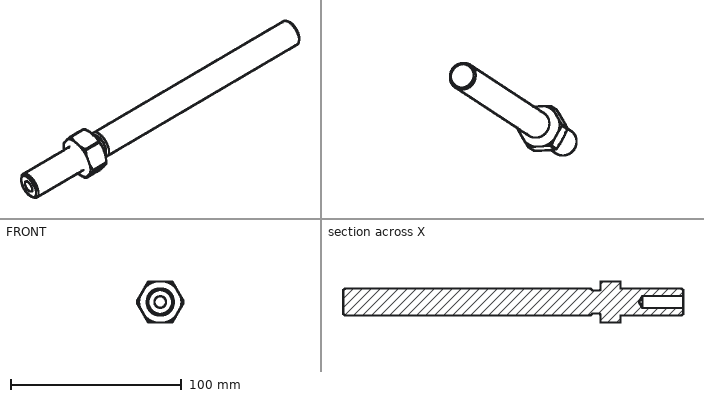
import cadquery as cq
import math

length = 199.0
rod_radius = 8.0
end_chamfer = 1.0

hex_start = 36.6
hex_width = 12.0
hex_end = hex_start + hex_width
across_flats = 24.0
across_corners = 27.5
hex_chamfer_radius = 12.3
hex_chamfer_angle = 35.0

shank_fillet = 0.5

groove_radius = 6.8
groove_width = 5.8
groove_end = hex_end + groove_width
groove_fillet = 1.2
groove_chamfer = rod_radius - groove_radius

hole_radius = 3.4
hole_depth = 23.9
drill_point_angle = 118.0


def revolve_about_y(profile):
    """Turn a closed half-profile, given as (radius, y), about the Y axis."""
    return profile.close().revolve(360, (0, 0, 0), (0, 1, 0))


def make_rod():
    end_radius = rod_radius - end_chamfer
    diagonal = groove_fillet * math.sqrt(0.5)
    fillet_radius = groove_radius + groove_fillet
    fillet_y = hex_end + groove_fillet
    shank_fillet_radius = rod_radius + shank_fillet
    shank_fillet_y = hex_start - shank_fillet
    shank_diagonal = shank_fillet * math.sqrt(0.5)
    profile = (
        cq.Workplane("XY")
        .lineTo(end_radius, 0)
        .lineTo(rod_radius, end_chamfer)
        .lineTo(rod_radius, shank_fillet_y)
        .threePointArc(
            (shank_fillet_radius - shank_diagonal, shank_fillet_y + shank_diagonal),
            (shank_fillet_radius, hex_start),
        )
        .lineTo(fillet_radius, hex_end)
        .threePointArc(
            (fillet_radius - diagonal, fillet_y - diagonal),
            (groove_radius, fillet_y),
        )
        .lineTo(groove_radius, groove_end - groove_chamfer)
        .lineTo(rod_radius, groove_end)
        .lineTo(rod_radius, length - end_chamfer)
        .lineTo(end_radius, length)
        .lineTo(0, length)
    )
    return revolve_about_y(profile)


def make_collar():
    prism = (
        cq.Workplane("XZ", origin=(0, hex_start, 0))
        .polygon(6, across_flats / math.cos(math.pi / 6))
        .extrude(-hex_width)
    )
    outer_radius = across_corners / 2
    bevel = (outer_radius - hex_chamfer_radius) * math.tan(math.radians(hex_chamfer_angle))
    envelope = revolve_about_y(
        cq.Workplane("XY")
        .moveTo(0, hex_start)
        .lineTo(hex_chamfer_radius, hex_start)
        .lineTo(outer_radius, hex_start + bevel)
        .lineTo(outer_radius, hex_end - bevel)
        .lineTo(hex_chamfer_radius, hex_end)
        .lineTo(0, hex_end)
    )
    return prism.intersect(envelope)


def make_hole():
    point_length = hole_radius / math.tan(math.radians(drill_point_angle / 2))
    return revolve_about_y(
        cq.Workplane("XY")
        .lineTo(hole_radius, 0)
        .lineTo(hole_radius, hole_depth)
        .lineTo(0, hole_depth + point_length)
    )


result = make_rod().union(make_collar()).cut(make_hole()).translate((0, -length / 2, 0))